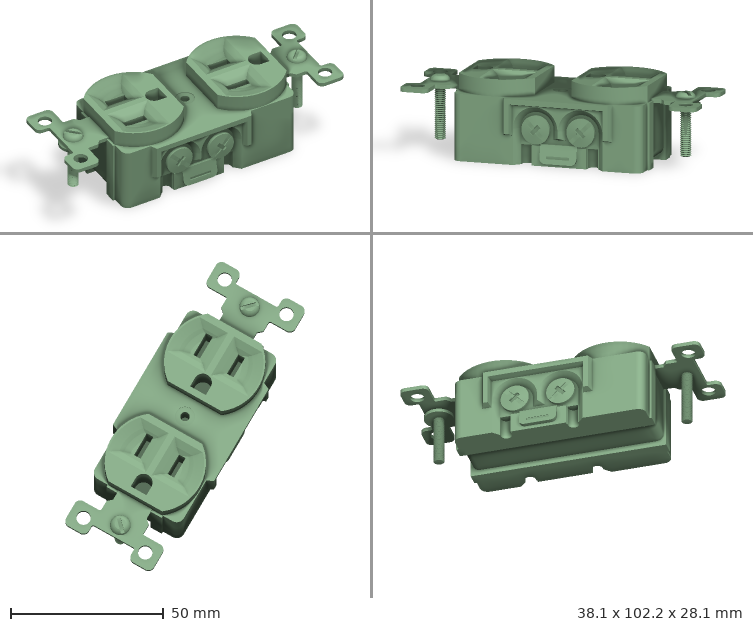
import cadquery as cq
import math


body_half_width = 16.8
body_half_length = 32.5
body_height = 22.5
body_corner_radius = 2.7
end_pad_length = 0.8
end_pad_inner = 6.2
end_pad_outer = 10.4
bottom_groove_depth = 1.9
bottom_groove_edge_radius = 2.4

overall_height = 28.1
face_offset = 19.4
face_radius = 16.6
face_half_length = 13.1

funnel_levels = [
    (0.0, 1.1, 4.5, -10.7, 15.9),
    (1.1, 3.2, 2.2, -8.3, 12.5),
    (2.2, 5.1, 0.8, -6.6, 8.9),
]
funnel_step_radius = 11.0
blade_slot_width = 2.5
short_blade_bottom = -6.6
long_blade_bottom = -7.5
contact_hole_depth = 12.3
ground_half_width = 3.0
ground_top = 10.9
ground_arc_centre = 7.8

fixing_recess_radius = 3.3
fixing_recess_depth = 0.2
fixing_hole_radius = 1.5
fixing_hole_depth = 8.2

strap_bottom = 21.8
strap_thickness = 1.3
strap_half_length = 51.1
strap_root = 28.6
neck_half_width = 6.3
neck_shoulder_start = 36.1
neck_shoulder_end = 37.5
bridge_half_width = 8.0
bridge_end = 46.7
ear_half_width = 16.6
ear_start = 41.4
ear_corner_radius = 2.0
ear_root_radius = 0.6
ear_hole_x = 11.7
ear_hole_y = 46.2
ear_hole_radius = 2.4

screw_offset = 42.3
screw_end = 3.3
screw_head_radius = 3.4
screw_head_top_radius = 1.8
screw_head_height = 1.6
screw_bulge_radius = 3.0
screw_bulge_height = 0.9
screw_slot_angle = 45
screw_slot_width = 1.2
screw_slot_depth = 0.8
thread_radius = 1.8
thread_root_radius = 1.4
thread_count = 28
washer_radius = 4.9
washer_bottom = 19.9
washer_thickness = 1.1

side_centre = -3.8
overall_width = 38.1
frame_half_length = 18.9
frame_bottom = 9.9
frame_end_slope = 1.0
frame_bottom_slope = 0.7
opening_half_length = 16.3
opening_top = 20.7
opening_slope = 0.6
terminal_spacing = 15.5
terminal_height = 12.2
well_radius = 7.7
well_depth = 2.0
well_slope = 1.9
well_divider_bottom = 8.9
well_divider_rise = 0.9
well_cut_bottom = -6.1
block_half_length = 9.4
block_height = 6.7
block_thickness = 0.9
channel_radius = 1.8
channel_depth = 1.8
tab_half_length = 6.3
tab_bottom = 1.1
tab_top = 7.4
tab_corner_radius = 1.9
tab_foot_face = 17.2
tab_slot_length = 7.8
tab_slot_bottom = 2.8
tab_slot_top = 3.7
tab_slot_depth = 0.8
terminal_head_radius = 4.8
terminal_shank_radius = 2.2
terminal_head_back = 15.5
terminal_rim = 16.7
terminal_face = 17.3
terminal_slot_angle = 45
terminal_slot_width = 1.4
terminal_slot_depth = 0.6
terminal_cross_length = 3.9
terminal_cross_depth = 1.0

well_floor = body_half_width - well_depth


def box(x0, x1, y0, y1, z0, z1):
    return cq.Workplane("XY").box(x1 - x0, y1 - y0, z1 - z0, centered=False).translate((x0, y0, z0))


def mirrored_in_x(shape):
    return shape.union(shape.mirror("YZ"))


def mirrored_in_y(shape):
    return shape.union(shape.mirror("XZ"))


def body():
    block = box(-body_half_width, body_half_width, -body_half_length, body_half_length, 0, body_height)
    block = block.edges("|Z").fillet(body_corner_radius)
    pad_end = body_half_length + end_pad_length
    pad = box(end_pad_inner, end_pad_outer, -pad_end, pad_end, 0, body_height)
    groove = box(-end_pad_inner, end_pad_inner, -pad_end, pad_end, 0, bottom_groove_depth)

    radius = bottom_groove_edge_radius
    corner = box(-end_pad_inner, end_pad_inner, body_half_length - radius, body_half_length,
                 bottom_groove_depth, bottom_groove_depth + radius)
    round_bar = (cq.Workplane("YZ").center(body_half_length - radius, bottom_groove_depth + radius)
                 .circle(radius).extrude(end_pad_inner, both=True))
    return block.cut(mirrored_in_y(corner.cut(round_bar))).union(mirrored_in_x(pad)).cut(groove)


def face():
    disc = cq.Workplane("XY").workplane(offset=body_height).circle(face_radius)
    disc = disc.extrude(overall_height - body_height)
    return disc.intersect(box(-face_radius, face_radius, -face_half_length, face_half_length,
                              body_height, overall_height))


def funnel_section(depth, inner, top, bottom, radius):
    """Closed outline with three straight sides and an outer arc about the face centre."""
    middle = (top + bottom) / 2

    def on_arc(y):
        return (math.sqrt(radius**2 - y**2), y)

    outline = (cq.Workplane("XY", origin=(0, 0, overall_height - depth))
               .moveTo(inner, top).lineTo(inner, bottom).lineTo(*on_arc(bottom))
               .threePointArc(on_arc(middle), on_arc(top)).close())
    return outline.val()


def face_openings():
    mouth, shelf, floor = funnel_levels
    halfway = [(a + b) / 2 for a, b in zip(shelf[:-1], floor[:-1])]
    step = (*halfway, funnel_step_radius)
    sections = [funnel_section(*level) for level in (mouth, shelf, step, floor)]
    hole_bottom = overall_height - contact_hole_depth
    _, slot_inner, slot_top, _, _ = floor
    slot_outer = slot_inner + blade_slot_width
    short_blade = box(-slot_outer, -slot_inner, short_blade_bottom, slot_top, hole_bottom, overall_height)
    long_blade = box(slot_inner, slot_outer, long_blade_bottom, slot_top, hole_bottom, overall_height)
    funnel = cq.Workplane("XY")
    for upper, lower in zip(sections, sections[1:]):
        funnel = funnel.add(cq.Solid.makeLoft([upper, lower], True))
    funnel = funnel.combine()
    ground = (cq.Workplane("XY", origin=(0, 0, hole_bottom))
              .moveTo(-ground_half_width, ground_top).lineTo(ground_half_width, ground_top)
              .lineTo(ground_half_width, ground_arc_centre)
              .threePointArc((0, ground_arc_centre - ground_half_width),
                             (-ground_half_width, ground_arc_centre))
              .close().extrude(contact_hole_depth))
    return mirrored_in_x(funnel).union(short_blade).union(long_blade).union(ground)


def fixing_hole():
    top = cq.Workplane("XY", origin=(0, 0, body_height))
    recess = top.circle(fixing_recess_radius).extrude(-fixing_recess_depth)
    return recess.union(top.circle(fixing_hole_radius).extrude(-fixing_hole_depth))


def strap_end():
    level = cq.Workplane("XY", origin=(0, 0, strap_bottom))
    neck = (level.moveTo(0, strap_root).lineTo(neck_half_width, strap_root)
            .lineTo(neck_half_width, neck_shoulder_start)
            .lineTo(bridge_half_width, neck_shoulder_end)
            .lineTo(bridge_half_width, bridge_end)
            .lineTo(0, bridge_end).close().extrude(strap_thickness))
    ear = box(bridge_half_width, ear_half_width, ear_start, strap_half_length,
              strap_bottom, strap_bottom + strap_thickness)
    ear = ear.edges("|Z and >X").fillet(ear_corner_radius)
    ear = ear.edges("|Z and <X and >Y").fillet(ear_corner_radius)
    end = mirrored_in_x(neck.union(ear))
    root_points = [(x, y) for x in (-bridge_half_width, bridge_half_width) for y in (ear_start, bridge_end)]
    for x, y in root_points:
        root_edge = cq.selectors.NearestToPointSelector((x, y, strap_bottom + strap_thickness / 2))
        end = end.edges("|Z").edges(root_edge).fillet(ear_root_radius)
    holes = (level.pushPoints([(-ear_hole_x, ear_hole_y), (ear_hole_x, ear_hole_y)])
             .circle(ear_hole_radius).extrude(strap_thickness))
    return end.cut(holes)


def mounting_screw(slot_angle):
    """Domed slotted head on a ringed shank, standing on the Z axis."""
    seat = strap_bottom + strap_thickness
    head_top = seat + screw_head_height
    pitch = (strap_bottom - screw_end) / thread_count
    rim = (screw_head_radius, seat)
    crown = (screw_head_top_radius, head_top)
    bulge = (screw_bulge_radius, seat + screw_bulge_height)
    profile = cq.Workplane("XZ").moveTo(0, screw_end).lineTo(thread_root_radius, screw_end)
    for index in range(thread_count):
        base = screw_end + index * pitch
        profile = profile.lineTo(thread_radius, base + pitch / 2)
        profile = profile.lineTo(thread_root_radius, base + pitch)
    profile = profile.lineTo(thread_root_radius, seat).lineTo(*rim)
    profile = profile.threePointArc(bulge, crown).lineTo(0, head_top).close()
    screw = profile.revolve(360, (0, 0, 0), (0, 1, 0))
    slot = box(-screw_head_radius, screw_head_radius, -screw_slot_width / 2, screw_slot_width / 2,
               head_top - screw_slot_depth, head_top)
    return screw.cut(slot.rotate((0, 0, 0), (0, 0, 1), slot_angle))


def side_plane(x):
    """Plane facing -X, x out from the YZ plane; its local axes run along -Y and Z."""
    return cq.Workplane(cq.Plane(origin=(-x, side_centre, 0), xDir=(0, -1, 0), normal=(-1, 0, 0)))


def side_rectangle(x, half_length, bottom, top):
    plane = side_plane(x).center(0, (bottom + top) / 2)
    return plane.rect(2 * half_length, top - bottom)


def side_loft(inner_x, inner_size, outer_x, outer_size):
    """Solid between two rectangles, each sized (half length, bottom, top)."""
    wires = [side_rectangle(inner_x, *inner_size).val(), side_rectangle(outer_x, *outer_size).val()]
    return cq.Workplane(cq.Solid.makeLoft(wires, True))


def terminal_frame():
    outer_face = overall_width / 2
    frame = side_loft(
        body_half_width, (frame_half_length, frame_bottom, body_height),
        outer_face, (frame_half_length - frame_end_slope, frame_bottom + frame_bottom_slope, body_height))
    opening = side_loft(
        body_half_width, (opening_half_length - opening_slope, 0, opening_top - opening_slope),
        outer_face, (opening_half_length, 0, opening_top))
    return frame.cut(opening)


def well_arch(x, y_offset, radius):
    """Arch outline around one terminal, open past the underside of the body."""
    diagonal = radius * math.sqrt(0.5)
    return (side_plane(x).center(y_offset, 0)
            .moveTo(-radius, well_cut_bottom).lineTo(-radius, terminal_height)
            .threePointArc((-diagonal, terminal_height + diagonal), (0, terminal_height + radius))
            .threePointArc((diagonal, terminal_height + diagonal), (radius, terminal_height))
            .lineTo(radius, well_cut_bottom).close().val())


def terminal_wells():
    half_length = terminal_spacing / 2 + well_radius
    wells = side_loft(
        well_floor, (half_length - well_slope, well_cut_bottom, well_divider_bottom),
        body_half_width, (half_length, well_cut_bottom, well_divider_bottom + well_divider_rise))
    for y_offset in (-terminal_spacing / 2, terminal_spacing / 2):
        floor = well_arch(well_floor, y_offset, well_radius - well_slope)
        mouth = well_arch(body_half_width, y_offset, well_radius)
        wells = wells.union(cq.Workplane(cq.Solid.makeLoft([floor, mouth], True)))
    channel_x = well_floor + block_thickness - channel_depth
    channel_y = (block_half_length + half_length - well_slope) / 2
    for y in (side_centre - channel_y, side_centre + channel_y):
        channel = cq.Workplane("XY").center(-channel_x, y).circle(channel_radius).extrude(block_height)
        throat = box(-well_floor, -channel_x, y - channel_radius, y + channel_radius, 0, block_height)
        wells = wells.union(channel).union(throat)
    return wells


def terminal_block():
    """Contact block with a slotted tab that leans outward towards its foot."""
    block_face = well_floor + block_thickness
    block = box(-block_face, -well_floor, side_centre - block_half_length, side_centre + block_half_length,
                0, block_height)
    side_profile = [(-well_floor, tab_bottom), (-tab_foot_face, tab_bottom),
                    (-block_face, tab_top), (-well_floor, tab_top)]
    tab = (cq.Workplane("XZ", origin=(0, side_centre, 0))
           .polyline(side_profile).close().extrude(tab_half_length, both=True))
    outline = side_rectangle(tab_foot_face, tab_half_length, tab_bottom, tab_top)
    outline = outline.extrude(-tab_foot_face).edges("|X and <Z").fillet(tab_corner_radius)
    tab = tab.intersect(outline)
    slot = side_rectangle(tab_foot_face, tab_slot_length / 2, tab_slot_bottom, tab_slot_top)
    slot = slot.extrude(-tab_slot_depth)
    return block.union(tab).cut(slot)


def terminal_screw(y_offset, slot_angle):
    """Shallow conical head with a long slot and a short cross slot."""
    profile = (cq.Workplane("XY").moveTo(-well_floor, 0)
               .lineTo(-well_floor, terminal_shank_radius)
               .lineTo(-terminal_head_back, terminal_shank_radius)
               .lineTo(-terminal_head_back, terminal_head_radius)
               .lineTo(-terminal_rim, terminal_head_radius)
               .lineTo(-terminal_face, 0).close())
    screw = profile.revolve(360, (0, 0, 0), (1, 0, 0))
    crown = cq.Workplane("YZ", origin=(-terminal_face, 0, 0))
    long_slot = crown.rect(2 * terminal_head_radius, terminal_slot_width).extrude(terminal_slot_depth)
    cross_slot = crown.rect(terminal_slot_width, terminal_cross_length).extrude(terminal_cross_depth)
    slots = long_slot.union(cross_slot)
    screw = screw.cut(slots.rotate((0, 0, 0), (1, 0, 0), slot_angle))
    return screw.translate((0, side_centre + y_offset, terminal_height))


def terminal_parts():
    parts = terminal_frame().union(terminal_block())
    for side in (-1, 1):
        parts = parts.union(terminal_screw(side * terminal_spacing / 2, side * terminal_slot_angle))
    return parts


housing = body()
for face_y in (-face_offset, face_offset):
    housing = housing.union(face().translate((0, face_y, 0)))

strap = mirrored_in_y(strap_end())
washer = (cq.Workplane("XY", origin=(0, -screw_offset, washer_bottom))
          .circle(washer_radius).extrude(washer_thickness))
housing = housing.union(strap).union(washer)
for end in (-1, 1):
    housing = housing.union(mounting_screw(-end * screw_slot_angle).translate((0, end * screw_offset, 0)))

for face_y in (-face_offset, face_offset):
    housing = housing.cut(face_openings().translate((0, face_y, 0)))
housing = housing.cut(fixing_hole())

housing = housing.cut(mirrored_in_x(terminal_wells()))
result = housing.union(mirrored_in_x(terminal_parts()))